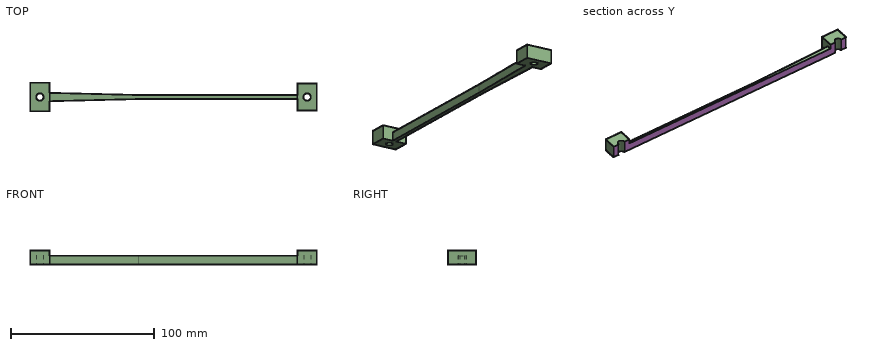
import cadquery as cq

total_length = 200.0
block_height = 10.0

block_length = 13.5
left_block_width = 20.0
right_block_width = 19.0
hole_diameter = 5.0

bar_height = 6.3
bar_root_width = 6.0
bar_width = 3.0
taper_length = 62.0

taper_end = block_length + taper_length
right_block_start = total_length - block_length


def end_block(start_x, width):
    """Rectangular block resting on Z = 0 with a central vertical through hole."""
    return (
        cq.Workplane("XY")
        .box(block_length, width, block_height, centered=(False, True, False))
        .faces(">Z")
        .workplane(origin=(block_length / 2, 0, block_height))
        .hole(hole_diameter)
        .translate((start_x, 0, 0))
    )


def connecting_bar():
    """Flat-topped bar joining the facing sides of the two blocks."""
    return (
        cq.Workplane("XY")
        .moveTo(block_length, -bar_root_width / 2)
        .lineTo(taper_end, -bar_width / 2)
        .lineTo(right_block_start, -bar_width / 2)
        .lineTo(right_block_start, bar_width / 2)
        .lineTo(taper_end, bar_width / 2)
        .lineTo(block_length, bar_root_width / 2)
        .close()
        .extrude(bar_height)
    )


left_block = end_block(0, left_block_width)
right_block = end_block(right_block_start, right_block_width)
result = left_block.union(connecting_bar()).union(right_block)